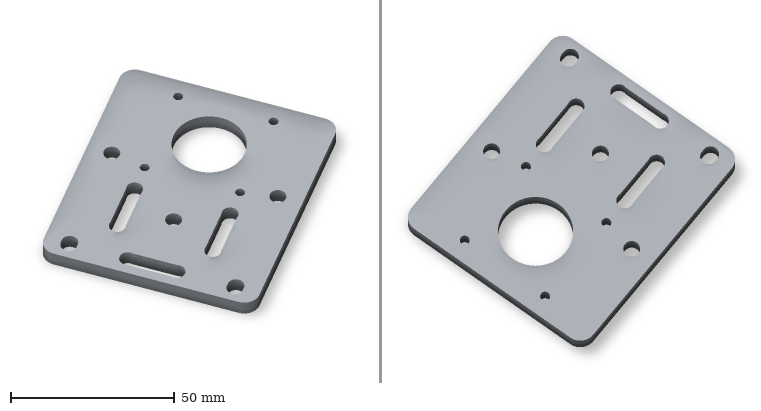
import cadquery as cq

plate_width = 70.0
plate_length = 80.0
plate_thickness = 5.0
corner_radius = 5.0

motor_y = 18.2
bore_diameter = 23.0
motor_screw_spacing = 31.0
motor_screw_diameter = 3.0

hole_diameter = 5.2
side_hole_x = 27.0
side_hole_y = 5.0
lower_row_y = -34.4
middle_row_y = -14.6
lower_hole_travel = 1.0
slot_travel = 16.0
slot_flat_width = 5.0
side_slot_x = motor_screw_spacing / 2


def round_cutter(diameter, points):
    """Cylinders through the plate at the given points."""
    return cq.Workplane("XY").pushPoints(points).circle(diameter / 2).extrude(plate_thickness)


def slot_cutter(x, y, travel, flat_width, angle):
    """Slot along Y, turned by angle: two end holes joined by a straight channel."""
    ends = round_cutter(hole_diameter, [(0, -travel / 2), (0, travel / 2)])
    channel = cq.Workplane("XY").rect(flat_width, travel).extrude(plate_thickness)
    return ends.union(channel).rotate((0, 0, 0), (0, 0, 1), angle).translate((x, y, 0))


plate = cq.Workplane("XY").rect(plate_width, plate_length).extrude(plate_thickness)
result = plate.edges("|Z").fillet(corner_radius)

result = result.cut(round_cutter(bore_diameter, [(0, motor_y)]))
half_spacing = motor_screw_spacing / 2
screw_points = [(sx * half_spacing, motor_y + sy * half_spacing) for sx in (-1, 1) for sy in (-1, 1)]
result = result.cut(round_cutter(motor_screw_diameter, screw_points))

mount_points = [(-side_hole_x, side_hole_y), (side_hole_x, side_hole_y), (0, middle_row_y)]
result = result.cut(round_cutter(hole_diameter, mount_points))

for side in (-1, 1):
    lower_hole = slot_cutter(side * side_hole_x, lower_row_y, lower_hole_travel, hole_diameter, 0)
    side_slot = slot_cutter(side * side_slot_x, middle_row_y, slot_travel, slot_flat_width, 0)
    result = result.cut(lower_hole).cut(side_slot)

result = result.cut(slot_cutter(0, lower_row_y, slot_travel, slot_flat_width, 90))